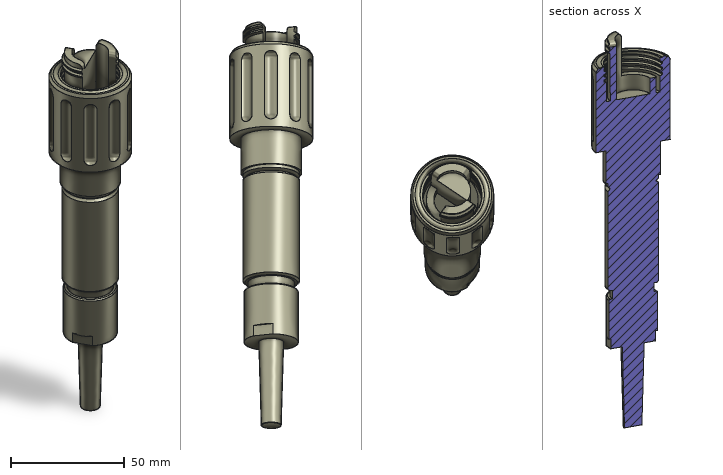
import cadquery as cq

PLUG_TOP = 184.7
PIN_TOP = 180.8
THREAD_BASE = 178.2
NUT_TOP = 173.3
GAP_FLOOR = 164.4
CAVITY_FLOOR = 157.0
NUT_BASE = 133.4
COLLAR_BASE = 117.7
GROOVE_TOP = 116.2
GROOVE_MID = 115.0
BARREL_TOP = 114.0
BARREL_BASE = 66.5
CLAMP_TOP = 62.6
CLAMP_BASE = 38.8

CABLE_END_RADIUS = 4.5
CABLE_ROOT_RADIUS = 5.5
CLAMP_RADIUS = 12.0
NECK_RADIUS = 10.3
BARREL_RADIUS = 12.5
GROOVE_RADIUS = 11.5
COLLAR_RADIUS = 13.5
NUT_DIAMETER = 36.8
NUT_RADIUS = NUT_DIAMETER / 2
CABLE_CHAMFER = 0.2
CLAMP_CHAMFER = 0.5
BARREL_CHAMFER = 1.0

RIM_CHAMFER_WIDTH = 1.0
RIM_CHAMFER_HEIGHT = 1.5
BEAD_INNER_RADIUS = 14.2
BEAD_OUTER_RADIUS = 16.5
BEAD_HEIGHT = 0.5
NUT_BORE_RADIUS = 13.1

FLUTE_COUNT = 10
FLUTE_CUTTER_RADIUS = 3.3
FLUTE_CUTTER_OFFSET = 19.8
FLUTE_LOW = 139.8
FLUTE_HIGH = 165.7

WALL_RADIUS = 11.5
WALL_INNER_RADIUS = 8.1
WALL_END_Y = 1.8
WALL_END_ROUND = 2.4

THREAD_DEPTH = 1.1
THREAD_BURY = 0.4
THREAD_PITCH = 2.5
THREAD_ROOT_WIDTH = 1.8
THREAD_CREST_WIDTH = 0.7
THREAD_START_ANGLE = 90.0
WALL_THREAD_TURNS = 2
NUT_THREAD_TURNS = 3
NUT_THREAD_LOW = 164.2

FLAT_DISTANCE = 11.0
FLAT_HEIGHT = 4.8


def cylinder(radius, low, high):
    return cq.Workplane("XY").workplane(offset=low).circle(radius).extrude(high - low)


def block(x_min, x_max, y_min, y_max, z_min, z_max):
    size = (x_max - x_min, y_max - y_min, z_max - z_min)
    return cq.Workplane("XY").box(*size, centered=False).translate((x_min, y_min, z_min))


def make_handle():
    """Turned cable, clamp, barrel, collar and nut, as one revolved outline."""
    bead_mid = (BEAD_INNER_RADIUS + BEAD_OUTER_RADIUS) / 2
    outline = (
        cq.Workplane("XZ")
        .lineTo(CABLE_END_RADIUS - CABLE_CHAMFER, 0)
        .lineTo(CABLE_END_RADIUS, CABLE_CHAMFER)
        .lineTo(CABLE_ROOT_RADIUS, CLAMP_BASE)
        .lineTo(CLAMP_RADIUS, CLAMP_BASE)
        .lineTo(CLAMP_RADIUS, CLAMP_TOP - CLAMP_CHAMFER)
        .lineTo(CLAMP_RADIUS - CLAMP_CHAMFER, CLAMP_TOP)
        .lineTo(NECK_RADIUS, CLAMP_TOP)
        .lineTo(NECK_RADIUS, BARREL_BASE)
        .lineTo(BARREL_RADIUS - BARREL_CHAMFER, BARREL_BASE)
        .lineTo(BARREL_RADIUS, BARREL_BASE + BARREL_CHAMFER)
        .lineTo(BARREL_RADIUS, BARREL_TOP)
        .lineTo(GROOVE_RADIUS, GROOVE_MID)
        .lineTo(BARREL_RADIUS, GROOVE_TOP)
        .lineTo(BARREL_RADIUS, COLLAR_BASE)
        .lineTo(COLLAR_RADIUS, COLLAR_BASE)
        .lineTo(COLLAR_RADIUS, NUT_BASE)
        .lineTo(NUT_RADIUS, NUT_BASE)
        .lineTo(NUT_RADIUS, NUT_TOP - RIM_CHAMFER_HEIGHT)
        .lineTo(NUT_RADIUS - RIM_CHAMFER_WIDTH, NUT_TOP)
        .lineTo(BEAD_OUTER_RADIUS, NUT_TOP)
        .threePointArc((bead_mid, NUT_TOP + BEAD_HEIGHT), (BEAD_INNER_RADIUS, NUT_TOP))
        .lineTo(0, NUT_TOP)
        .close()
    )
    return outline.revolve(360, (0, 0, 0), (0, 1, 0))


def cut_flutes(body):
    """Cut the grip flutes, each a straight groove with ball-shaped ends."""
    cutter = cylinder(FLUTE_CUTTER_RADIUS, FLUTE_LOW, FLUTE_HIGH)
    for height in (FLUTE_LOW, FLUTE_HIGH):
        cutter = cutter.union(cq.Workplane("XY").sphere(FLUTE_CUTTER_RADIUS).translate((0, 0, height)))
    cutter = cutter.translate((FLUTE_CUTTER_OFFSET, 0, 0))
    for index in range(FLUTE_COUNT):
        body = body.cut(cutter.rotate((0, 0, 0), (0, 0, 1), index * 360 / FLUTE_COUNT))
    return body


def cut_nut_cavity(body):
    """Bore the nut around the plug and cut its internal thread."""
    body = body.cut(cylinder(NUT_BORE_RADIUS, CAVITY_FLOOR, NUT_TOP))
    return body.cut(make_thread(NUT_BORE_RADIUS, NUT_THREAD_LOW, NUT_THREAD_TURNS))


def make_thread(root_radius, low, turns):
    """Right-handed trapezoidal ridge that extends slightly inside the root radius."""
    path = cq.Workplane(cq.Wire.makeHelix(THREAD_PITCH, turns * THREAD_PITCH, root_radius))
    flank_slope = (THREAD_ROOT_WIDTH - THREAD_CREST_WIDTH) / 2 / THREAD_DEPTH
    half_base = THREAD_ROOT_WIDTH / 2 + THREAD_BURY * flank_slope
    half_crest = THREAD_CREST_WIDTH / 2
    profile = (
        cq.Workplane("XZ")
        .moveTo(root_radius - THREAD_BURY, -half_base)
        .lineTo(root_radius + THREAD_DEPTH, -half_crest)
        .lineTo(root_radius + THREAD_DEPTH, half_crest)
        .lineTo(root_radius - THREAD_BURY, half_base)
        .close()
    )
    ridge = profile.sweep(path, isFrenet=True)
    return ridge.rotate((0, 0, 0), (0, 0, 1), THREAD_START_ANGLE).translate((0, 0, low))


def make_wall_zones():
    """Two quadrants with rounded upper end edges, standing on a full ring."""
    reach = 2 * WALL_RADIUS
    right = block(0, reach, WALL_END_Y, reach, GAP_FLOOR, PLUG_TOP)
    left = block(-reach, 0, -reach, WALL_END_Y, GAP_FLOOR, PLUG_TOP)
    right = right.edges(">Z and (<X or <Y)").fillet(WALL_END_ROUND)
    left = left.edges(">Z and (>X or >Y)").fillet(WALL_END_ROUND)
    ring = block(-reach, reach, -reach, reach, CAVITY_FLOOR, GAP_FLOOR)
    return ring.union(right).union(left)


def make_plug():
    """Threaded wall quadrants on a ring, with the half-round pin inside."""
    tube = cylinder(WALL_RADIUS, CAVITY_FLOOR, PLUG_TOP)
    first_turn = THREAD_BASE - THREAD_PITCH / 4
    thread = make_thread(WALL_RADIUS, first_turn, WALL_THREAD_TURNS)
    thread = thread.intersect(cylinder(NUT_BORE_RADIUS, THREAD_BASE, PLUG_TOP))
    tube = tube.union(thread).cut(cylinder(WALL_INNER_RADIUS, CAVITY_FLOOR, PLUG_TOP))
    walls = tube.intersect(make_wall_zones())
    pin = cylinder(WALL_INNER_RADIUS, CAVITY_FLOOR, PIN_TOP)
    pin = pin.intersect(block(-WALL_RADIUS, 0, -WALL_RADIUS, WALL_RADIUS, CAVITY_FLOOR, PIN_TOP))
    return walls.union(pin)


def cut_flats(body):
    """Cut two opposite wrench flats at the lower end of the cable clamp."""
    flat_top = CLAMP_BASE + FLAT_HEIGHT
    for y_min, y_max in ((FLAT_DISTANCE, CLAMP_RADIUS), (-CLAMP_RADIUS, -FLAT_DISTANCE)):
        body = body.cut(block(-CLAMP_RADIUS, CLAMP_RADIUS, y_min, y_max, CLAMP_BASE, flat_top))
    return body


handle = cut_flats(cut_flutes(cut_nut_cavity(make_handle())))
result = handle.union(make_plug())